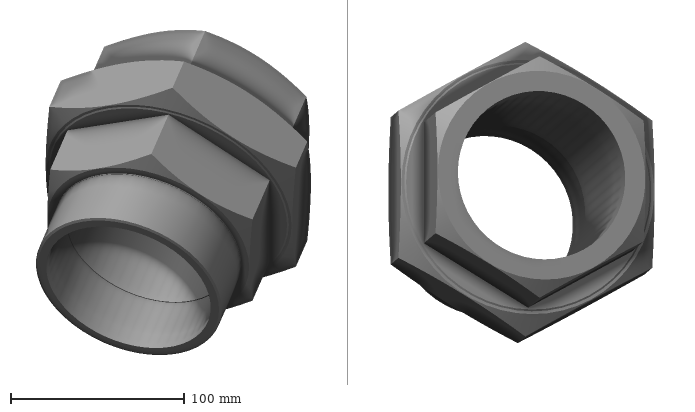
import cadquery as cq
import math


nut_corners = 173.1
hex_corners = 142.0
nut_face_diameter = 149.2
hex_face_diameter = 122.5
hex_bevel_angle = 30.0

hex_length = 37.4
collar_length = 0.5
nut_length = 35.0
tube_length = 36.7
tube_collar_length = 0.7

collar_diameter = 146.0
collar_end_diameter = 144.0

tube_diameter = 113.0
tube_collar_diameter = 113.4
tube_end_diameter = 110.1
tube_bevel_length = 0.7

socket_diameter = 100.0
socket_depth = tube_length
bore_diameter = 98.8

tail_collar_start = hex_length
nut_start = tail_collar_start + collar_length
nut_end = nut_start + nut_length
body_hex_start = nut_end + collar_length
body_hex_end = body_hex_start + hex_length
total_length = body_hex_end + tube_length


def hex_prism(corners, start, length):
    """Hexagonal prism from the given station toward -Y, corners up and down."""
    hexagon = cq.Workplane("XZ", origin=(0, -start, 0)).transformed(rotate=(0, 0, 90))
    return hexagon.polygon(6, corners).extrude(length)


def revolved(profile):
    """Solid turned about the Y axis from (diameter, station) pairs."""
    points = [(diameter / 2, -station) for diameter, station in profile]
    closed = [(0, points[0][1])] + points + [(0, points[-1][1])]
    return cq.Workplane("XY").polyline(closed).close().revolve(360, (0, 0), (0, 1))


def beveled_hex(corners, face_diameter, start, length, bevel_start, bevel_end):
    """Hexagonal prism whose corners are turned to a cone at the chosen ends."""
    bevel_length = (corners - face_diameter) / 2 * math.tan(math.radians(hex_bevel_angle))
    end = start + length
    profile = []
    if bevel_start:
        profile += [(face_diameter, start), (corners, start + bevel_length)]
    else:
        profile += [(corners, start)]
    if bevel_end:
        profile += [(corners, end - bevel_length), (face_diameter, end)]
    else:
        profile += [(corners, end)]
    return hex_prism(corners, start, length).intersect(revolved(profile))


tail_hex = beveled_hex(hex_corners, hex_face_diameter, 0, hex_length, True, False)
nut = beveled_hex(nut_corners, nut_face_diameter, nut_start, nut_length, True, True)
body_hex = beveled_hex(hex_corners, hex_face_diameter, body_hex_start, hex_length, False, True)

collars = revolved([
    (collar_end_diameter, tail_collar_start),
    (collar_diameter, nut_start),
    (collar_diameter, nut_end),
    (collar_end_diameter, body_hex_start),
])

tube = revolved([
    (tube_collar_diameter, body_hex_end),
    (tube_collar_diameter, body_hex_end + tube_collar_length),
    (tube_diameter, body_hex_end + tube_collar_length),
    (tube_diameter, total_length - tube_bevel_length),
    (tube_end_diameter, total_length),
])

bore = revolved([
    (bore_diameter, 0),
    (bore_diameter, total_length - socket_depth),
    (socket_diameter, total_length - socket_depth),
    (socket_diameter, total_length),
])

result = tail_hex.union(collars).union(nut).union(body_hex).union(tube).cut(bore)